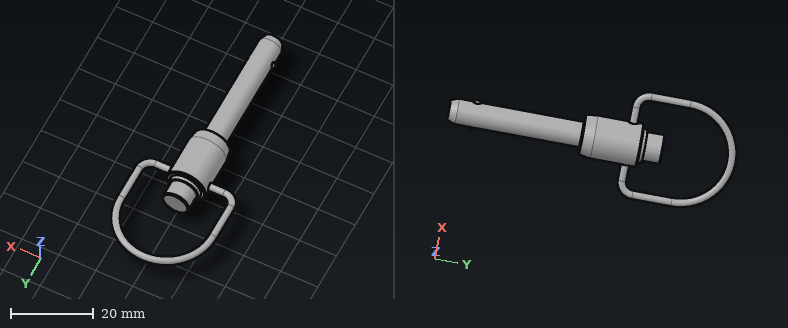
import cadquery as cq

total_length = 70.6

shank_radius = 3.2
tip_radius = 2.5
tip_length = 2.0
tip_bulge = 0.085
shoulder_radius = 3.4
shoulder_start = 32.55

ball_radius = 1.05
ball_reach = 3.75
ball_y = 6.4

sleeve_diameter = 10.65
sleeve_radius = sleeve_diameter / 2
nose_radius = 4.9
nose_start = 32.8
nose_end = 35.65
nose_bulge = 0.06
sleeve_end = 47.1
sleeve_chamfer = 0.3

collar_radius = 4.25
collar_end = 48.15
collar_end_radius = 3.95
collar_bulge = 0.105
button_radius = 3.6
button_end = 52.6
button_chamfer = 0.3

wire_diameter = 2.2
wire_radius = wire_diameter / 2
ring_width = 27.0
bend_radius = 3.1
bar_y = 44.4


def make_turned_body():
    """Shank, sleeve, collar and button as one profile revolved about Y."""
    return (
        cq.Workplane("XY")
        .lineTo(tip_radius, 0)
        .sagittaArc((shank_radius, tip_length), -tip_bulge)
        .lineTo(shank_radius, shoulder_start)
        .lineTo(shoulder_radius, shoulder_start)
        .lineTo(shoulder_radius, nose_start)
        .lineTo(nose_radius, nose_start)
        .sagittaArc((sleeve_radius, nose_end), -nose_bulge)
        .lineTo(sleeve_radius, sleeve_end - sleeve_chamfer)
        .lineTo(sleeve_radius - sleeve_chamfer, sleeve_end)
        .lineTo(collar_radius, sleeve_end)
        .sagittaArc((collar_end_radius, collar_end), -collar_bulge)
        .lineTo(button_radius, collar_end)
        .lineTo(button_radius, button_end - button_chamfer)
        .lineTo(button_radius - button_chamfer, button_end)
        .lineTo(0, button_end)
        .close()
        .revolve(360, (0, 0, 0), (0, 1, 0))
    )


def make_ring():
    """D-shaped wire whose straight bar runs through the sleeve."""
    bow_radius = ring_width / 2 - wire_radius
    bow_y = total_length - ring_width / 2
    bar_half = bow_radius - bend_radius
    bend_y = bar_y + bend_radius
    path = (
        cq.Workplane("XY")
        .moveTo(0, bar_y)
        .lineTo(bar_half, bar_y)
        .tangentArcPoint((bow_radius, bend_y), relative=False)
        .lineTo(bow_radius, bow_y)
        .threePointArc((0, bow_y + bow_radius), (-bow_radius, bow_y))
        .lineTo(-bow_radius, bend_y)
        .tangentArcPoint((-bar_half, bar_y), relative=False)
        .close()
    )
    section = cq.Workplane("YZ").center(bar_y, 0).circle(wire_radius)
    return section.sweep(path)


result = make_turned_body().union(make_ring())
for side in (-1, 1):
    ball_x = side * (ball_reach - ball_radius)
    ball = cq.Workplane("XY").sphere(ball_radius).translate((ball_x, ball_y, 0))
    result = result.union(ball)